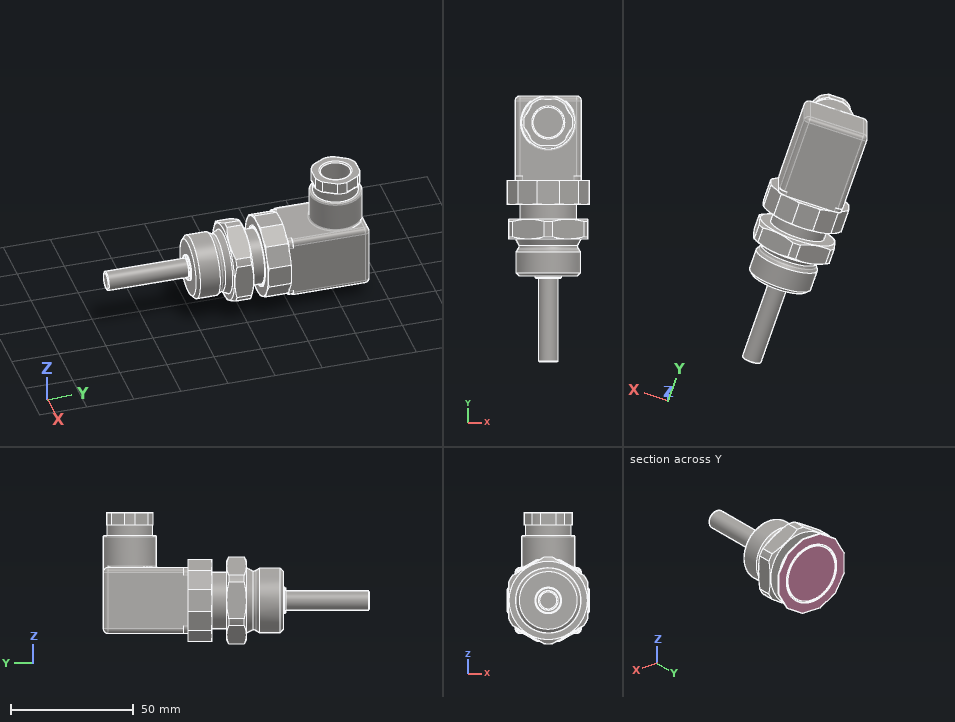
import cadquery as cq
import math

total_length = 108.4

collar_front = 34.0
body_front = 34.9
ramp_top = 44.8
ramp_foot = 46.0
groove_back = 47.4
hex_front = 50.0
hex_back = 58.2
union_front = 64.0
union_back = 73.9
housing_front = 75.6

probe_diameter = 8.0
tip_diameter = 6.9
tip_chamfer_length = 0.3
collar_diameter = 10.8
collar_end_diameter = 10.0
collar_bevel_length = 0.4

body_diameter = 26.4
body_end_diameter = 23.5
body_bevel_length = 1.4
groove_diameter = 24.0
ramp_foot_diameter = 24.7
flare_diameter = 26.7
neck_diameter = 23.1
sleeve_diameter = 24.2

hex_sides = 6
hex_across_flats = 32.3
hex_outer_diameter = 35.5
hex_face_diameter = 31.9
hex_bevel_length = 1.0

union_across_flats = 33.5
union_sides = 12
union_front_face_diameter = 33.4
union_back_face_diameter = 34.0
union_bevel_slope = 0.5
union_recess_diameter = 25.4
union_recess_depth = 1.0

housing_width = 27.0
housing_fillet = 2.1
rim_corner_radius = 3.0

tower_diameter = 21.7
tower_center_y = total_length - tower_diameter / 2
tower_top = 26.4
tower_edge_fillet = 0.5
tower_root_fillet = 0.4
gland_diameter = 18.6
cap_bottom = 30.8
cap_top = 35.8
cap_diameter = 19.9
cap_across_flats = 19.0
bore_diameter = 12.4
bore_chamfer = 0.5


def turned_about_y(profile):
    """Solid of revolution about Y from (radius, y) points; both ends close on the axis."""
    first_y = profile[0][1]
    last_y = profile[-1][1]
    outline = [(0, first_y)] + profile + [(0, last_y)]
    return cq.Workplane("XY").polyline(outline).close().revolve(360, (0, 0), (0, 1))


def prism_along_y(sides, across_flats, turn, front, back):
    """Regular prism along Y; turn is the angle in degrees from +X to a corner."""
    corner_diameter = across_flats / math.cos(math.pi / sides)
    prism = cq.Workplane("XZ", origin=(0, back, 0)).polygon(sides, corner_diameter).extrude(back - front)
    return prism.rotate((0, 0, 0), (0, 1, 0), turn)


def make_probe():
    profile = [
        (tip_diameter / 2, 0),
        (probe_diameter / 2, tip_chamfer_length),
        (probe_diameter / 2, collar_front),
        (collar_end_diameter / 2, collar_front),
        (collar_diameter / 2, collar_front + collar_bevel_length),
        (collar_diameter / 2, body_front),
    ]
    return turned_about_y(profile)


def make_body():
    """Turned body: bevelled front, groove with a rounded ramp, flare up to the hexagon, neck and sleeve."""
    sleeve_back = union_front + union_recess_depth
    return (
        cq.Workplane("XY")
        .moveTo(0, body_front)
        .lineTo(body_end_diameter / 2, body_front)
        .lineTo(body_diameter / 2, body_front + body_bevel_length)
        .lineTo(body_diameter / 2, ramp_top)
        .lineTo(ramp_foot_diameter / 2, ramp_foot)
        .tangentArcPoint((groove_diameter / 2, groove_back), relative=False)
        .lineTo(flare_diameter / 2, hex_front)
        .lineTo(neck_diameter / 2, hex_front)
        .lineTo(neck_diameter / 2, union_front)
        .lineTo(sleeve_diameter / 2, union_front)
        .lineTo(sleeve_diameter / 2, sleeve_back)
        .lineTo(0, sleeve_back)
        .close()
        .revolve(360, (0, 0), (0, 1))
    )


def make_body_hexagon():
    prism = prism_along_y(hex_sides, hex_across_flats, 90, hex_front, hex_back)
    turned_outline = [
        (hex_face_diameter / 2, hex_front),
        (hex_outer_diameter / 2, hex_front + hex_bevel_length),
        (hex_outer_diameter / 2, hex_back - hex_bevel_length),
        (hex_face_diameter / 2, hex_back),
    ]
    return prism.intersect(turned_about_y(turned_outline))


def make_union_nut():
    half_side_angle = 180 / union_sides
    prism = prism_along_y(union_sides, union_across_flats, half_side_angle, union_front, union_back)
    corner_radius = union_across_flats / 2 / math.cos(math.radians(half_side_angle))
    front_radius = union_front_face_diameter / 2
    back_radius = union_back_face_diameter / 2
    turned_outline = [
        (front_radius, union_front),
        (corner_radius, union_front + union_bevel_slope * (corner_radius - front_radius)),
        (corner_radius, union_back - union_bevel_slope * (corner_radius - back_radius)),
        (back_radius, union_back),
    ]
    recess = (
        cq.Workplane("XZ", origin=(0, union_front + union_recess_depth, 0))
        .circle(union_recess_diameter / 2)
        .extrude(union_recess_depth)
    )
    return prism.intersect(turned_about_y(turned_outline)).cut(recess)


def make_housing():
    block_length = total_length - housing_front
    block = (
        cq.Workplane("XZ", origin=(0, total_length, 0))
        .rect(housing_width, housing_width)
        .extrude(block_length)
        .edges("|Y or >Y")
        .fillet(housing_fillet)
    )
    rim = (
        cq.Workplane("XZ", origin=(0, housing_front, 0))
        .rect(housing_width, housing_width)
        .extrude(housing_front - union_back)
        .edges("|Y")
        .fillet(rim_corner_radius)
    )
    return block.union(rim)


def upright_cylinder(diameter, bottom, top):
    """Cylinder along Z on the cable outlet axis."""
    return cq.Workplane("XY", origin=(0, tower_center_y, bottom)).circle(diameter / 2).extrude(top - bottom)


def make_tower_root():
    """Concave fillet around the tower foot, kept to the flat top of the housing."""
    foot_z = housing_width / 2
    tower_radius = tower_diameter / 2
    arc_inset = tower_root_fillet * (1 - math.sqrt(0.5))
    ring = (
        cq.Workplane("XZ", origin=(0, tower_center_y, 0))
        .moveTo(0, foot_z)
        .lineTo(tower_radius + tower_root_fillet, foot_z)
        .threePointArc(
            (tower_radius + arc_inset, foot_z + arc_inset),
            (tower_radius, foot_z + tower_root_fillet),
        )
        .lineTo(0, foot_z + tower_root_fillet)
        .close()
        .revolve(360, (0, 0), (0, 1))
    )
    flat_length = total_length - housing_fillet
    flat_top = cq.Workplane("XY", origin=(0, flat_length / 2, foot_z)).rect(housing_width, flat_length)
    return ring.intersect(flat_top.extrude(tower_root_fillet))


def make_cable_outlet():
    tower = upright_cylinder(tower_diameter, 0, tower_top).faces(">Z").edges().fillet(tower_edge_fillet)
    gland = upright_cylinder(gland_diameter, tower_top, cap_bottom)
    cap_corner_diameter = cap_across_flats / math.cos(math.pi / hex_sides)
    cap_prism = (
        cq.Workplane("XY", origin=(0, tower_center_y, cap_bottom))
        .polygon(hex_sides, cap_corner_diameter)
        .extrude(cap_top - cap_bottom)
    )
    cap = upright_cylinder(cap_diameter, cap_bottom, cap_top).intersect(cap_prism)
    bore = upright_cylinder(bore_diameter, tower_top, cap_top)
    outlet = tower.union(gland).union(cap).cut(bore)
    mouth = cq.selectors.RadiusNthSelector(0)
    return outlet.faces(">Z").edges(mouth).chamfer(bore_chamfer)


result = (
    make_probe()
    .union(make_body())
    .union(make_body_hexagon())
    .union(make_union_nut())
    .union(make_housing())
    .union(make_tower_root())
    .union(make_cable_outlet())
)